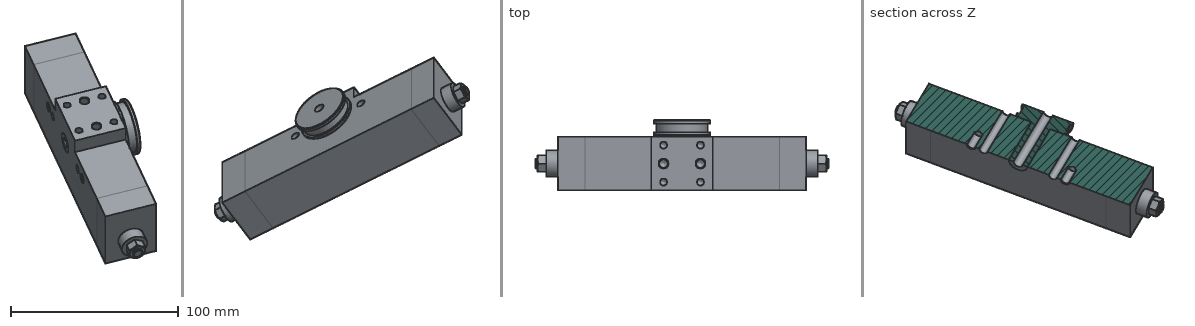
import cadquery as cq
import math


housing_length = 148.0
housing_depth = 32.0
housing_height = 41.0
total_height = 51.0
cap_length = 16.0
mount_width = 36.4

total_length = 175.0
stop_z = 16.6
boss_diameter = 16.0
boss_length = 7.0
nut_across_flats = 10.0
nut_face_diameter = 9.5
nut_thickness = 5.2
nut_bevel_angle = 30.0
screw_diameter = 6.0
thread_chamfer = 0.44
screw_length = (total_length - housing_length) / 2 - boss_length - nut_thickness

shaft_z = 31.0
shaft_diameter = 12.0
shaft_bore_diameter = 6.0
flange_diameter = 34.0
groove_diameter = 31.0
neck_diameter = 30.5
disc_height = 10.0
neck_height = 0.5
flange_width = 2.1
flange_chamfer = 0.5

through_hole_diameter = 5.0
through_hole_x = 23.0
threaded_hole_diameter = 6.0
threaded_hole_depth = 10.5
front_threaded_hole_x = 31.0
small_hole_diameter = 4.2
small_hole_depth = 7.0
top_hole_offset = 11.0
drill_point_angle = 118.0

front_y = -housing_depth / 2
rear_y = housing_depth / 2


def revolve_along_z(points):
    """Turn a closed (radius, z) outline once around the Z axis."""
    return cq.Workplane("XZ").polyline(points).close().revolve(360, (0, 0), (0, 1))


def blind_hole(diameter, depth, mouth_chamfer=0.0):
    """Cutter that goes down from the origin, with a drill point and a mouth chamfer."""
    mouth_radius = diameter / 2
    drill_radius = mouth_radius - mouth_chamfer
    point_length = drill_radius / math.tan(math.radians(drill_point_angle / 2))
    outline = [(0, 0), (mouth_radius, 0)]
    if mouth_chamfer > 0:
        outline.append((drill_radius, -mouth_chamfer))
    outline += [(drill_radius, -depth), (0, -depth - point_length)]
    return revolve_along_z(outline)


def cylinder_through_y(x, z, diameter):
    """Cylinder along Y over the full depth of the housing."""
    return (
        cq.Workplane("XZ", origin=(x, rear_y, z))
        .circle(diameter / 2)
        .extrude(housing_depth)
    )


def make_core():
    """Middle of the housing with its mounting block and all of its holes."""
    core = cq.Workplane("XY").box(
        housing_length - 2 * cap_length, housing_depth, housing_height, centered=(True, True, False)
    )
    mount = cq.Workplane("XY").box(
        mount_width, housing_depth, total_height, centered=(True, True, False)
    )
    core = core.union(mount).cut(cylinder_through_y(0, shaft_z, shaft_diameter))

    threaded_hole = blind_hole(threaded_hole_diameter, threaded_hole_depth, thread_chamfer)
    front_threaded_hole = threaded_hole.rotate((0, 0, 0), (1, 0, 0), 90)
    small_hole = blind_hole(small_hole_diameter, small_hole_depth)

    for side in (-1, 1):
        core = core.cut(cylinder_through_y(side * through_hole_x, shaft_z, through_hole_diameter))
        core = core.cut(front_threaded_hole.translate((side * front_threaded_hole_x, front_y, shaft_z)))

        top_x = side * top_hole_offset
        core = core.cut(threaded_hole.translate((top_x, 0, total_height)))
        for top_y in (-top_hole_offset, top_hole_offset):
            core = core.cut(small_hole.translate((top_x, top_y, total_height)))
    return core


def make_nut():
    """Hexagon nut standing on Z = 0 with its outer corners bevelled, corners on the X axis."""
    corner_diameter = nut_across_flats / math.cos(math.pi / 6)
    corner_radius = corner_diameter / 2
    face_radius = nut_face_diameter / 2
    bevel_height = (corner_radius - face_radius) * math.tan(math.radians(nut_bevel_angle))
    hexagon = cq.Workplane("XY").polygon(6, corner_diameter).extrude(nut_thickness)
    bevel_envelope = revolve_along_z([
        (0, 0),
        (corner_radius, 0),
        (corner_radius, nut_thickness - bevel_height),
        (face_radius, nut_thickness),
        (0, nut_thickness),
    ])
    return hexagon.intersect(bevel_envelope)


def make_end_stop():
    """Boss, nut and screw end standing on Z = 0."""
    boss = cq.Workplane("XY").circle(boss_diameter / 2).extrude(boss_length)
    screw = (
        cq.Workplane("XY")
        .circle(screw_diameter / 2)
        .extrude(boss_length + nut_thickness + screw_length)
        .faces(">Z")
        .chamfer(thread_chamfer)
    )
    return boss.union(make_nut().translate((0, 0, boss_length))).union(screw)


def make_end(side):
    """End cap with its end stop; side is -1 for the -X end and 1 for the +X end."""
    cap = cq.Workplane("XY").box(
        cap_length, housing_depth, housing_height, centered=(True, True, False)
    )
    cap = cap.translate((side * (housing_length - cap_length) / 2, 0, 0))
    stop = make_end_stop().rotate((0, 0, 0), (0, 1, 0), side * 90)
    return cap.union(stop.translate((side * housing_length / 2, 0, stop_z)))


def make_housing():
    """Core joined to both ends; the joint lines around the caps are kept."""
    housing = make_core()
    for side in (-1, 1):
        housing = housing.union(make_end(side), clean=False)
    return housing


def make_turntable():
    """Grooved disc and hollow shaft, turned along Z and then laid along Y."""
    bore_radius = shaft_bore_diameter / 2
    shaft_radius = shaft_diameter / 2
    neck_radius = neck_diameter / 2
    flange_radius = flange_diameter / 2
    groove_radius = groove_diameter / 2
    chamfer_radius = flange_radius - flange_chamfer
    groove_start = neck_height + flange_width
    groove_end = disc_height - flange_width
    turntable = revolve_along_z([
        (bore_radius, -housing_depth),
        (shaft_radius, -housing_depth),
        (shaft_radius, 0),
        (neck_radius, 0),
        (neck_radius, neck_height),
        (chamfer_radius, neck_height),
        (flange_radius, neck_height + flange_chamfer),
        (flange_radius, groove_start),
        (groove_radius, groove_start),
        (groove_radius, groove_end),
        (flange_radius, groove_end),
        (flange_radius, disc_height - flange_chamfer),
        (chamfer_radius, disc_height),
        (bore_radius, disc_height),
    ])
    return turntable.rotate((0, 0, 0), (1, 0, 0), -90).translate((0, rear_y, shaft_z))


housing = make_housing()
turntable = make_turntable()

result = cq.Compound.makeCompound([housing.solids().val(), turntable.val()])